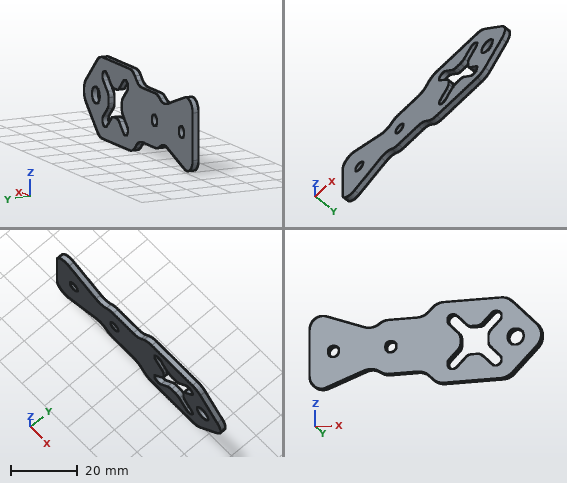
import cadquery as cq
import math

length = 72.5
width = 25.0
thickness = 2.0
neck_width = 16.75

tail_radius = 4.0
edge_radius = 5.0

tail_taper = 20
shoulder_slope = 45

tail_corner_half_width = 13.0
waist_x = 18.9
shoulder_start_x = 35.8

pin_hole_diameter = 3.5
pin_hole_places = (7.5, 25.45)
nose_hole_diameter = 5.0
nose_hole_x = 64.5

cross_x = 51.6
cross_square = 8.8
slot_width = 3.5
slot_end_offset = 6.75
cross_corner_radius = 2.5


def tangent(degrees):
    return math.tan(math.radians(degrees))


def prism(sketch):
    """Give an XZ sketch, drawn on the front face, the full plate thickness."""
    return sketch.extrude(-thickness)


def arc_point(centre, degrees):
    """Point on a rounding of the outer edge, at an angle measured from +X towards +Z."""
    angle = math.radians(degrees)
    return (centre[0] + edge_radius * math.cos(angle), centre[1] + edge_radius * math.sin(angle))


def plate():
    half_width = width / 2
    half_neck = neck_width / 2

    taper_z = tail_corner_half_width - tangent(tail_taper) * waist_x
    waist_centre = (waist_x, taper_z + edge_radius / math.cos(math.radians(tail_taper)))
    crest_z = half_neck - edge_radius
    centre_drop = waist_centre[1] - crest_z
    crest_x = waist_x + math.sqrt((2 * edge_radius) ** 2 - centre_drop ** 2)
    crest_centre = (crest_x, crest_z)

    taper_touch = 270 - tail_taper
    waist_end = 360 - math.degrees(math.asin(centre_drop / (2 * edge_radius)))
    crest_start = waist_end - 180
    neck_touch = 90

    shoulder_end_x = shoulder_start_x + (half_width - half_neck) / tangent(shoulder_slope)

    sharp_tip_x = length + edge_radius * (math.sqrt(2) - 1)
    nose_start_x = sharp_tip_x - half_width

    upper_half = prism(
        cq.Workplane("XZ")
        .lineTo(0, tail_corner_half_width)
        .lineTo(*arc_point(waist_centre, taper_touch))
        .threePointArc(
            arc_point(waist_centre, (taper_touch + waist_end) / 2),
            arc_point(waist_centre, waist_end),
        )
        .threePointArc(
            arc_point(crest_centre, (crest_start + neck_touch) / 2),
            arc_point(crest_centre, neck_touch),
        )
        .lineTo(shoulder_start_x, half_neck)
        .lineTo(shoulder_end_x, half_width)
        .lineTo(nose_start_x, half_width)
        .lineTo(sharp_tip_x, 0)
        .close()
    )
    blank = upper_half.union(upper_half.mirror("XY")).clean()
    tail_rounded = blank.edges("|Y and <X").fillet(tail_radius)

    neck_middle_x = (crest_x + shoulder_start_x) / 2
    corners = cq.selectors.BoxSelector(
        (neck_middle_x, 0, -width), (sharp_tip_x + edge_radius, thickness, width)
    )
    return tail_rounded.edges("|Y").edges(corners).fillet(edge_radius)


def holes():
    plane = cq.Workplane("XZ")
    pins = prism(plane.pushPoints([(x, 0) for x in pin_hole_places]).circle(pin_hole_diameter / 2))
    nose = prism(plane.center(nose_hole_x, 0).circle(nose_hole_diameter / 2))
    return pins.union(nose)


def cross_window():
    plane = cq.Workplane("XZ").center(cross_x, 0)
    window = prism(plane.rect(cross_square, cross_square))
    slot_length = 2 * math.sqrt(2) * slot_end_offset + slot_width
    for angle in (45, -45):
        window = window.union(prism(plane.slot2D(slot_length, slot_width, angle)))

    reach = slot_end_offset - slot_width / 2
    corners = cq.selectors.BoxSelector(
        (cross_x - reach, 0, -reach), (cross_x + reach, thickness, reach)
    )
    return window.edges("|Y").edges(corners).fillet(cross_corner_radius)


result = plate().cut(holes()).cut(cross_window()).clean()